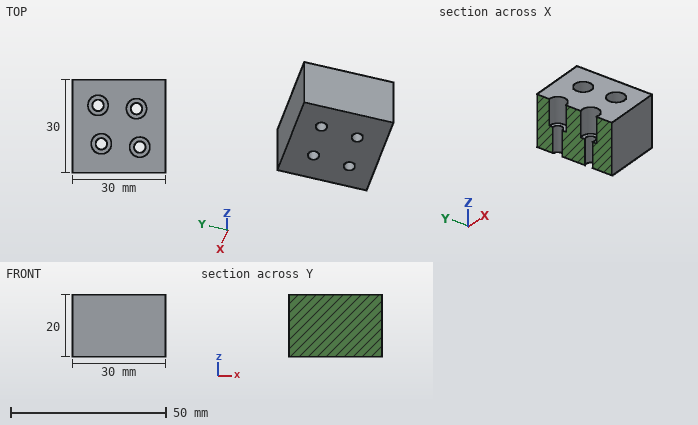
import cadquery as cq
import math

side = 30.0
height = 20.0

hole_diameter = 3.6
counterbore_diameter = 6.5
counterbore_depth = height / 2
rising_pair_spacing = 16.0
falling_pair_spacing = 19.0


def diagonal_pair(spacing, angle):
    """Two opposite points, spacing apart, on a line through the centre."""
    x = spacing / 2 * math.cos(math.radians(angle))
    y = spacing / 2 * math.sin(math.radians(angle))
    return [(x, y), (-x, -y)]


hole_centres = diagonal_pair(rising_pair_spacing, 45) + diagonal_pair(falling_pair_spacing, 135)

block = cq.Workplane("XY").box(side, side, height, centered=(True, True, False))

result = (
    block.faces(">Z")
    .workplane()
    .pushPoints(hole_centres)
    .cboreHole(hole_diameter, counterbore_diameter, counterbore_depth)
)